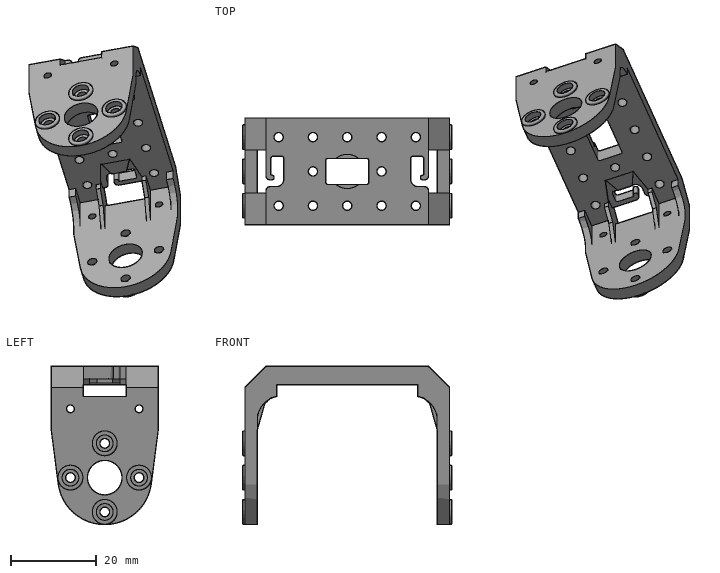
import cadquery as cq
import math

total_length = 48.8
width = 25.0
total_height = 37.0
boss_height = 0.5
plate_thickness = 4.4
arm_thickness = 2.95
corner_chamfer = 4.95

half_width = width / 2
arm_outer_x = total_length / 2 - boss_height
arm_inner_x = arm_outer_x - arm_thickness
plate_end_x = arm_outer_x - corner_chamfer

hole_pitch = 8.0
arm_end_radius = 11.0
pivot_z = arm_end_radius - total_height
taper_start_z = -15.0
pivot_hole_diameter = 8.0
boss_diameter = 5.8
boss_edge_radius = 0.25
counterbore_diameter = 3.9
counterbore_depth = 1.45
screw_hole_diameter = 2.2
cable_hole_diameter = 1.75
cable_hole_z = -9.95

window_width = 9.95
window_bottom_z = -7.05

edge_rib_thickness = 1.6
edge_rib_end_x = 16.4
edge_rib_radius = 5.6
edge_rib_bottom_z = -12.6
window_rib_thickness = 1.0
window_rib_bend_x = 19.25
window_rib_bend_z = -8.8

plate_hole_diameter = 2.1
center_opening_length = 9.95
center_opening_width = 6.0
center_opening_radius = 0.4
recess_diameter = 8.0
recess_depth = 1.45

slot_outer_x = 17.8
slot_inner_x = 14.85
slot_half_length = 3.5
hook_tip_y = -2.0
hook_barb_y = -0.85
hook_barb_x = 17.1
slot_corner_radius = 0.5
slot_bend_radius = 1.65
hook_tip_radius = 1.0
barb_radius = 0.55

hook_thickness = 3.0
relief_neck_x = edge_rib_end_x
relief_end_x = 10.55
pad_thickness = 0.95
pad_half_front = 1.8
pad_front_x = 14.45


def box_between(x_range, y_range, z_range):
    """Box spanning three (low, high) ranges."""
    (x0, x1), (y0, y1), (z0, z1) = x_range, y_range, z_range
    return cq.Workplane("XY").box(x1 - x0, y1 - y0, z1 - z0, centered=False).translate((x0, y0, z0))


def x_cylinder(diameter, x_start, length, y, z):
    """Cylinder along X."""
    return cq.Workplane("YZ", origin=(x_start, y, z)).circle(diameter / 2).extrude(length)


def mirrored_pair(solid):
    """A feature of the +X end together with its mirror image."""
    return solid.union(solid.mirror("YZ"))


def make_channel():
    """Chamfered channel section, trimmed to the tapered round-ended arm outline."""
    y_range = (-half_width, half_width)
    block = box_between((-arm_outer_x, arm_outer_x), y_range, (-total_height, 0))
    inside = box_between((-arm_inner_x, arm_inner_x), y_range, (-total_height, -plate_thickness))
    section = block.edges("|Y and >Z").chamfer(corner_chamfer).cut(inside)
    drop = taper_start_z - pivot_z
    tangent_angle = math.atan2(drop, half_width) - math.acos(arm_end_radius / math.hypot(half_width, drop))
    tangent_y = arm_end_radius * math.cos(tangent_angle)
    tangent_z = pivot_z + arm_end_radius * math.sin(tangent_angle)
    outline = (
        cq.Workplane("YZ", origin=(-arm_outer_x, 0, 0))
        .moveTo(-half_width, 0)
        .lineTo(half_width, 0)
        .lineTo(half_width, taper_start_z)
        .lineTo(tangent_y, tangent_z)
        .threePointArc((0, -total_height), (-tangent_y, tangent_z))
        .lineTo(-half_width, taper_start_z)
        .close()
        .extrude(2 * arm_outer_x)
    )
    return section.intersect(outline)


def make_edge_ribs():
    """Corner ribs along both long edges, hollowed by a concave radius."""
    center_x = arm_inner_x - edge_rib_radius
    ribs = box_between((edge_rib_end_x, arm_inner_x), (-half_width, half_width),
                       (edge_rib_bottom_z, -plate_thickness))
    hollow = (
        cq.Workplane("XZ", origin=(center_x, half_width, edge_rib_bottom_z))
        .circle(edge_rib_radius)
        .extrude(width)
    )
    inner_y = half_width - edge_rib_thickness
    gap = box_between((0, arm_inner_x), (-inner_y, inner_y), (-total_height, -plate_thickness))
    return mirrored_pair(ribs.cut(hollow).cut(gap))


def make_window_ribs():
    """Tapered ribs on both sides of each window, flaring out towards the plate."""
    outer_y = window_width / 2 + window_rib_thickness
    flare_top_z = window_rib_bend_z + window_rib_bend_x - edge_rib_end_x
    ribs = (
        cq.Workplane("XZ", origin=(0, outer_y, 0))
        .moveTo(arm_inner_x, taper_start_z)
        .lineTo(arm_inner_x, -plate_thickness)
        .lineTo(edge_rib_end_x, -plate_thickness)
        .lineTo(edge_rib_end_x, flare_top_z)
        .lineTo(window_rib_bend_x, window_rib_bend_z)
        .close()
        .extrude(2 * outer_y)
    )
    inner_y = window_width / 2
    gap = box_between((0, arm_inner_x), (-inner_y, inner_y), (-total_height, -plate_thickness))
    return mirrored_pair(ribs.cut(gap))


def add_bolt_pattern(body):
    """Four counterbored screw bosses around the pivot hole of each arm."""
    screw_points = [
        (hole_pitch, pivot_z),
        (-hole_pitch, pivot_z),
        (0, pivot_z + hole_pitch),
        (0, pivot_z - hole_pitch),
    ]
    for y, z in screw_points:
        boss = x_cylinder(boss_diameter, arm_outer_x, boss_height, y, z)
        boss = boss.faces(">X").edges().fillet(boss_edge_radius)
        bore = x_cylinder(screw_hole_diameter, arm_inner_x, total_length, y, z)
        counterbore = x_cylinder(counterbore_diameter, total_length / 2 - counterbore_depth, total_length, y, z)
        body = body.union(mirrored_pair(boss)).cut(mirrored_pair(bore.union(counterbore)))
    body = body.cut(x_cylinder(pivot_hole_diameter, -total_length, 2 * total_length, 0, pivot_z))
    for y in (-hole_pitch, hole_pitch):
        body = body.cut(x_cylinder(cable_hole_diameter, -total_length, 2 * total_length, y, cable_hole_z))
    return body


def cut_plate_openings(body):
    """Mounting hole grid and the recessed central opening."""
    edge_rows = [(i * hole_pitch, y) for i in range(-2, 3) for y in (-hole_pitch, hole_pitch)]
    middle_row = [(-hole_pitch, 0), (hole_pitch, 0)]
    plate = cq.Workplane("XY").workplane(offset=-plate_thickness)
    holes = plate.pushPoints(edge_rows + middle_row).circle(plate_hole_diameter / 2).extrude(plate_thickness)
    opening = (
        plate.rect(center_opening_length, center_opening_width)
        .extrude(plate_thickness)
        .edges("|Z")
        .fillet(center_opening_radius)
    )
    recess = cq.Workplane("XY").circle(recess_diameter / 2).extrude(-recess_depth)
    return body.cut(holes).cut(opening).cut(recess)


def make_window():
    """Opening through the chamfered corner, between hook and arm."""
    half = window_width / 2
    return box_between((plate_end_x, arm_outer_x), (-half, half), (window_bottom_z, 0))


def make_relief():
    """Pocket under a hook, narrowing inward and ending at the faceted pad."""
    half = window_width / 2
    pocket = (
        cq.Workplane("XY")
        .workplane(offset=-plate_thickness)
        .polyline([
            (plate_end_x, -half),
            (plate_end_x, half),
            (relief_neck_x, half),
            (relief_end_x, slot_half_length),
            (relief_end_x, -slot_half_length),
            (relief_neck_x, -half),
        ])
        .close()
        .extrude(plate_thickness - hook_thickness)
    )
    pad = (
        cq.Workplane("XY")
        .workplane(offset=-hook_thickness)
        .polyline([
            (relief_end_x, -slot_half_length),
            (pad_front_x, -pad_half_front),
            (pad_front_x, pad_half_front),
            (relief_end_x, slot_half_length),
        ])
        .close()
        .extrude(-pad_thickness)
    )
    return pocket.cut(pad)


def make_hook_slot():
    """J-shaped slot that leaves a barbed hook at the plate end."""
    return (
        cq.Workplane("XY")
        .polyline([
            (slot_outer_x, slot_half_length),
            (slot_inner_x, slot_half_length),
            (slot_inner_x, -slot_half_length),
            (plate_end_x, -slot_half_length),
            (plate_end_x, hook_tip_y),
            (hook_barb_x, hook_tip_y),
            (hook_barb_x, hook_barb_y),
            (slot_outer_x, hook_barb_y),
        ])
        .close()
        .extrude(-hook_thickness)
    )


def round_hook_corners(body):
    """Round the vertical edges of both hooks and slots."""
    corners = [
        (slot_outer_x, slot_half_length, slot_corner_radius),
        (slot_inner_x, slot_half_length, slot_corner_radius),
        (slot_inner_x, -slot_half_length, slot_bend_radius),
        (plate_end_x, -slot_half_length, hook_tip_radius),
        (plate_end_x, hook_tip_y, hook_tip_radius),
        (hook_barb_x, hook_tip_y, barb_radius),
        (hook_barb_x, hook_barb_y, barb_radius),
    ]
    for side in (-1, 1):
        for x, y, radius in corners:
            edge_middle = (side * x, y, -hook_thickness / 2)
            body = body.edges(cq.NearestToPointSelector(edge_middle)).fillet(radius)
    return body


bracket = make_channel().union(make_edge_ribs()).union(make_window_ribs())
for cutter in (make_window(), make_relief(), make_hook_slot()):
    bracket = bracket.cut(mirrored_pair(cutter))
bracket = round_hook_corners(bracket)
bracket = cut_plate_openings(bracket)
result = add_bolt_pattern(bracket)